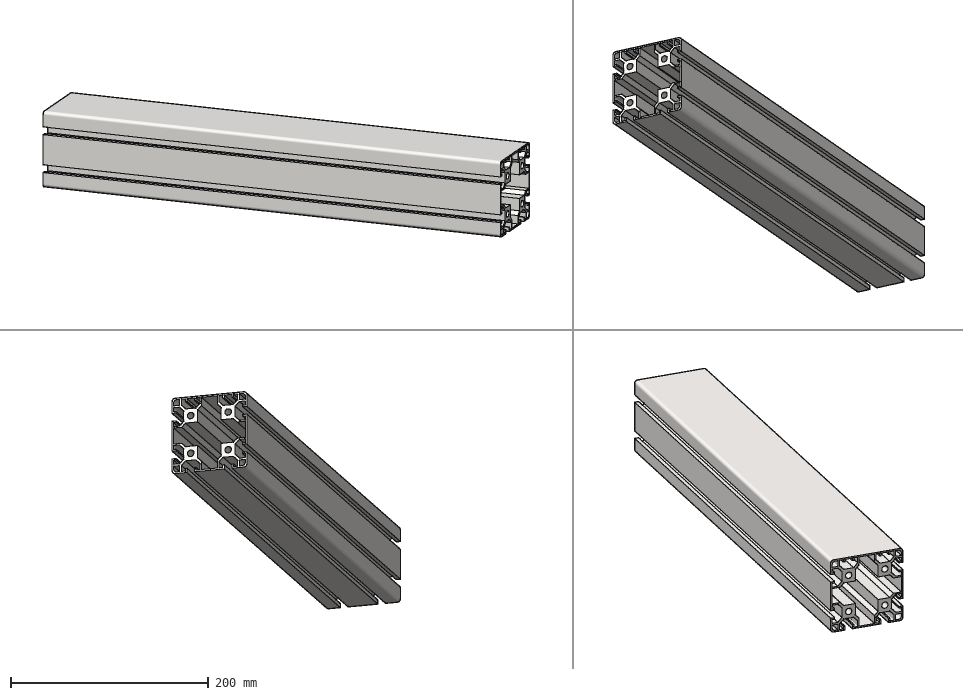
import cadquery as cq

length = 500.0
side = 80.0
corner_radius = 3.5
wall = 1.7
half_side = side / 2

core_offset = side / 4
core_size = 15.0
bore_diameter = 6.8
core_inner = core_offset - core_size / 2
core_outer = core_offset + core_size / 2

slot_opening = 8.2
slot_width = 20.0
slot_shoulder_depth = 7.9
slot_fillet = 0.5
slot_depth = half_side - core_outer
slot_flank = slot_depth - slot_shoulder_depth
slot_floor_width = slot_width - 2 * slot_flank
lip_thickness = 1.7
lip_depth = 4.5

web_thickness = 1.5
web_shoulder_depth = 10.5
web_inner = core_offset - slot_width / 2 - web_thickness
web_shoulder = half_side - web_shoulder_depth
web_foot = web_shoulder - (core_inner - web_inner)

chamber_wall = 2.0
chamber_outer_radius = 3.5
chamber_inner_radius = 1.0
chamber_far = half_side - wall
chamber_near = core_offset + slot_width / 2 + chamber_wall


def bar(width, height, y, z):
    """Full-length rectangular bar centred at (y, z)."""
    return cq.Workplane("YZ").center(y, z).rect(width, height).extrude(length)


def polygon_bar(points):
    """Full-length bar whose section has the given (y, z) corners."""
    return cq.Workplane("YZ").polyline(points).close().extrude(length)


def rounded(body, y, z, radius):
    """Body with its lengthwise edge at (y, z) rounded."""
    return body.edges(cq.NearestToPointSelector((length / 2, y, z))).fillet(radius)


def central_cavity():
    """Cross-shaped cavity bounded by the walls, the webs and the cores."""
    inner_side = half_side - wall
    arm = polygon_bar([
        (0, 0),
        (0, inner_side),
        (web_inner, inner_side),
        (web_inner, web_shoulder),
        (core_inner, web_foot),
        (core_inner, core_inner),
        (web_foot, core_inner),
        (web_shoulder, web_inner),
        (inner_side, web_inner),
        (inner_side, 0),
    ])
    upper = arm.union(arm.mirror("XZ"))
    return upper.union(upper.mirror("XY"))


def corner_chamber():
    """Corner chamber of the +Y +Z quarter."""
    size = chamber_far - chamber_near
    centre = (chamber_far + chamber_near) / 2
    chamber = bar(size, size, centre, centre)
    chamber = rounded(chamber, chamber_far, chamber_far, chamber_outer_radius)
    return rounded(chamber, chamber_near, chamber_near, chamber_inner_radius)


def slot_cavity(y):
    """Inside of the slot centred at y under the +Z wall, with both lips left standing."""
    roof = half_side - wall
    shoulder = half_side - slot_shoulder_depth
    cavity = polygon_bar([
        (y - slot_width / 2, roof),
        (y + slot_width / 2, roof),
        (y + slot_width / 2, shoulder),
        (y + slot_floor_width / 2, core_outer),
        (y - slot_floor_width / 2, core_outer),
        (y - slot_width / 2, shoulder),
    ])
    for direction in (-1, 1):
        cavity = rounded(cavity, y + direction * slot_width / 2, roof, slot_fillet)
        lip_y = y + direction * (slot_opening + lip_thickness) / 2
        cavity = cavity.cut(bar(lip_thickness, lip_depth, lip_y, half_side - lip_depth / 2))
    return cavity


def slots():
    """Two closed slots under +Z and two open slots in each of -Y, -Z and +Y."""
    closed = slot_cavity(-core_offset).union(slot_cavity(core_offset))
    opened = closed
    for y in (-core_offset, core_offset):
        opened = opened.union(bar(slot_opening, lip_depth, y, half_side - lip_depth / 2))
    cuts = closed
    for angle in (90, 180, 270):
        cuts = cuts.union(opened.rotate((0, 0, 0), (1, 0, 0), angle))
    return cuts


def profile():
    """Solid bar with the cavity, slots, chambers and bores taken out."""
    body = bar(side, side, 0, 0).edges("|X").fillet(corner_radius)
    body = body.cut(central_cavity()).cut(slots())
    chamber = corner_chamber()
    for quarter in range(4):
        body = body.cut(chamber.rotate((0, 0, 0), (1, 0, 0), 90 * quarter))
    bore_centres = cq.Workplane("YZ").rarray(2 * core_offset, 2 * core_offset, 2, 2)
    bores = bore_centres.circle(bore_diameter / 2).extrude(length)
    return body.cut(bores)


result = profile()